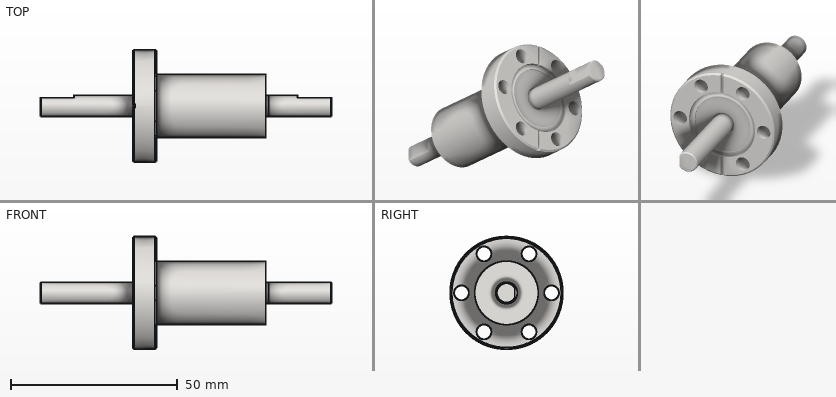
import cadquery as cq

SHAFT_LENGTH = 87.3
FLANGE_FRONT = 27.7
FLANGE_THICKNESS = 7.2
FLANGE_BACK = FLANGE_FRONT + FLANGE_THICKNESS
HOUSING_BACK = 67.6

FLANGE_DIAMETER = 33.8
FLANGE_CHAMFER = 0.5
BOLT_COUNT = 6
BOLT_CIRCLE_DIAMETER = 27.0
BOLT_HOLE_DIAMETER = 4.4
RECESS_DIAMETER = 21.4
RECESS_DEPTH = 1.05
KNIFE_ROOT_DIAMETER = 20.8
KNIFE_TIP_DIAMETER = 18.4
KNIFE_TIP_DEPTH = 0.6
GROOVE_WIDTH = 0.9
GROOVE_DEPTH = 0.8

HOUSING_DIAMETER = 19.0

COVER_DIAMETER = 18.1
COVER_SETBACK = 1.0
COVER_FRONT = FLANGE_FRONT + COVER_SETBACK
COVER_HOLE_CHAMFER = 0.35

SHAFT_DIAMETER = 6.5
SHAFT_CHAMFER = 0.35
CORE_PROJECTION = 0.8
CORE_FRONT = COVER_FRONT - CORE_PROJECTION
CORE_BACK = HOUSING_BACK + CORE_PROJECTION
FLAT_DEPTH = 0.8
FRONT_FLAT_LENGTH = 10.0
REAR_FLAT_LENGTH = 10.2


def cross_plane(x):
    """Plane across the shaft axis at x, with its local X pointing up (+Z)."""
    return cq.Plane(origin=(x, 0, 0), xDir=(0, 0, 1), normal=(1, 0, 0))


def cylinder(start, end, diameter):
    """Solid cylinder on the X axis between two X positions."""
    return cq.Workplane(cross_plane(start)).circle(diameter / 2).extrude(end - start)


def bolt_holes():
    """Through holes evenly spaced on the bolt circle, two of them on the Y axis."""
    return (
        cq.Workplane(cross_plane(FLANGE_FRONT))
        .polarArray(BOLT_CIRCLE_DIAMETER / 2, 90, 360, BOLT_COUNT)
        .circle(BOLT_HOLE_DIAMETER / 2)
        .extrude(FLANGE_THICKNESS)
    )


def seal_recess():
    """Round cut in the flange face that leaves a sloped knife edge standing in it."""
    root_x = FLANGE_FRONT + RECESS_DEPTH
    tip_x = FLANGE_FRONT + KNIFE_TIP_DEPTH
    profile = [
        (FLANGE_FRONT, 0),
        (FLANGE_FRONT, RECESS_DIAMETER / 2),
        (root_x, RECESS_DIAMETER / 2),
        (root_x, KNIFE_ROOT_DIAMETER / 2),
        (tip_x, KNIFE_TIP_DIAMETER / 2),
        (tip_x, 0),
    ]
    return cq.Workplane("XZ").polyline(profile).close().revolve(360, (0, 0, 0), (1, 0, 0))


def leak_grooves():
    """Straight vertical groove across the face, kept only outside the seal recess."""
    groove = cq.Workplane("XY", origin=(FLANGE_FRONT, 0, 0)).box(
        GROOVE_DEPTH, GROOVE_WIDTH, FLANGE_DIAMETER, centered=(False, True, True)
    )
    return groove.cut(cylinder(FLANGE_FRONT, FLANGE_BACK, RECESS_DIAMETER))


def make_flange():
    """Chamfered flange disc with bolt holes, seal recess, grooves and a bore for the cover."""
    flange = cylinder(FLANGE_FRONT, FLANGE_BACK, FLANGE_DIAMETER).faces("<X or >X").chamfer(FLANGE_CHAMFER)
    bore = cylinder(FLANGE_FRONT, FLANGE_BACK, COVER_DIAMETER)
    return flange.cut(bolt_holes()).cut(bore).cut(seal_recess()).cut(leak_grooves())


def make_housing():
    """Plain cylinder bored for the shaft."""
    housing = cylinder(FLANGE_BACK, HOUSING_BACK, HOUSING_DIAMETER)
    return housing.cut(cylinder(FLANGE_BACK, HOUSING_BACK, SHAFT_DIAMETER))


def make_cover():
    """Disc in the flange bore, its shaft hole chamfered on the front face."""
    cover = cylinder(COVER_FRONT, FLANGE_BACK, COVER_DIAMETER)
    cover = cover.cut(cylinder(COVER_FRONT, FLANGE_BACK, SHAFT_DIAMETER))
    hole_edge = cq.selectors.RadiusNthSelector(0)
    return cover.faces("<X").edges(hole_edge).chamfer(COVER_HOLE_CHAMFER)


def make_shaft_core():
    """Middle length of the shaft, running through the cover and the housing."""
    return cylinder(CORE_FRONT, CORE_BACK, SHAFT_DIAMETER)


def make_shaft_end(start, end, tip_side, flat_start, flat_length):
    """Shaft stub with a chamfered tip and a flat on its +Y side."""
    stub = cylinder(start, end, SHAFT_DIAMETER).faces(tip_side).chamfer(SHAFT_CHAMFER)
    flat_y = SHAFT_DIAMETER / 2 - FLAT_DEPTH
    flat_cut = cq.Workplane("XY", origin=(flat_start, flat_y, 0)).box(
        flat_length, FLAT_DEPTH, SHAFT_DIAMETER, centered=(False, False, True)
    )
    return stub.cut(flat_cut)


flange = make_flange()
housing = make_housing()
cover = make_cover()
shaft_core = make_shaft_core()
front_shaft_end = make_shaft_end(0, CORE_FRONT, "<X", 0, FRONT_FLAT_LENGTH)
rear_shaft_end = make_shaft_end(
    CORE_BACK, SHAFT_LENGTH, ">X", SHAFT_LENGTH - REAR_FLAT_LENGTH, REAR_FLAT_LENGTH
)

result = cq.Compound.makeCompound([
    flange.val(),
    housing.val(),
    cover.val(),
    shaft_core.val(),
    front_shaft_end.val(),
    rear_shaft_end.val(),
])